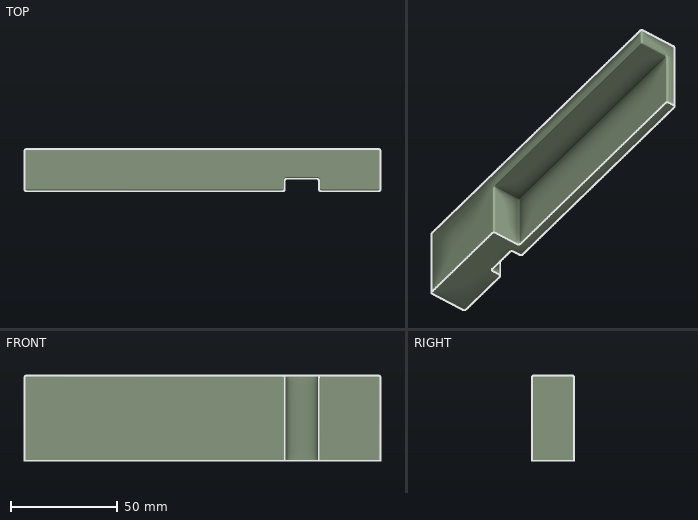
import cadquery as cq

length = 167.6
depth = 20.0
height = 40.2

top_thickness = 9.7
wall_thickness = 5.0

notch_start = 122.5
notch_width = 16.1
notch_depth = 5.9

recess_length = notch_start - wall_thickness

edge_radius = 1.0


def corner_box(x_size, y_size, z_size, corner):
    """Box extending in +X, +Y and +Z from the given corner."""
    return cq.Workplane("XY").box(x_size, y_size, z_size, centered=False).translate(corner)


body = corner_box(length, depth, height, (0, 0, 0))

recess = corner_box(
    recess_length,
    depth - wall_thickness,
    height - top_thickness,
    (0, wall_thickness, 0),
)

notch = corner_box(notch_width, notch_depth, height, (notch_start, 0, 0))

sharp_body = body.cut(recess).cut(notch)
result = sharp_body.edges("not(<Z)").fillet(edge_radius)